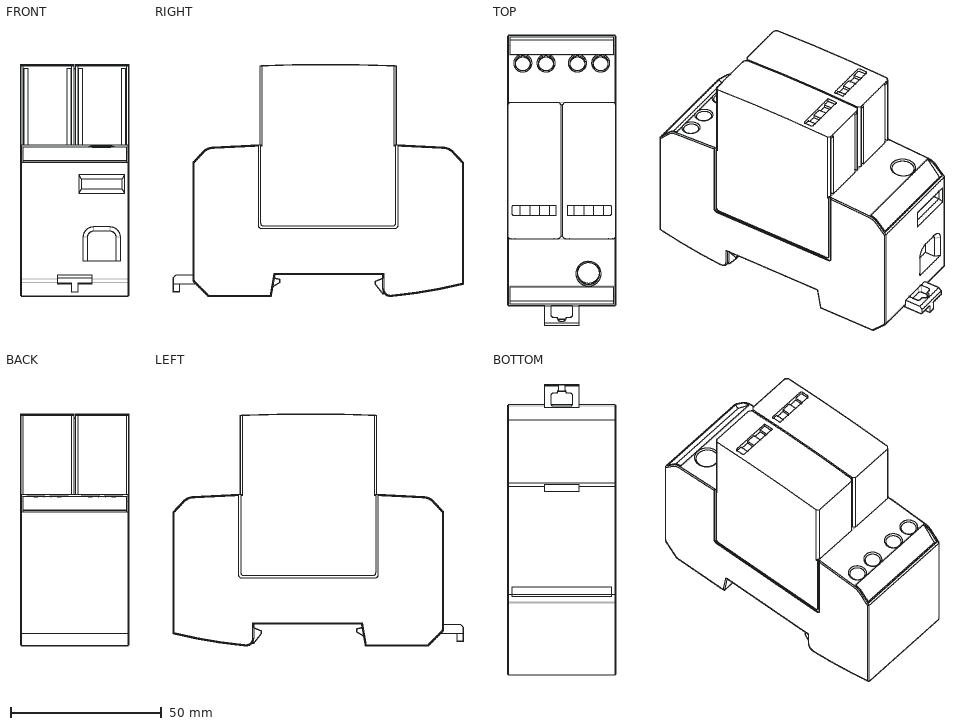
import cadquery as cq
import math


width = 36.0
body_depth = 89.9
side_chamfer = 0.4
shoulder_z = 50.4
shoulder_slope = 0.05
bevel_z = 44.5
bevel_slope = 1.07
bevel_radius = 4.8
front_foot_bevel = 5.1
front_foot_radius = 1.6
rear_foot_end_z = 4.1
rear_foot_sag = (77.8, 1.5)
rear_foot_low_y = 66.0
rear_foot_radius = 2.9
rail_z = 7.2
rail_front_y = 27.3
rail_rear_y = 63.1
rail_draft = 1.3

recess_wall = 0.9
recess_top_y = 6.4
recess_low_y = 1.6
recess_low_z = 43.9
lip_run = 1.1

module_depth = 45.4
module_mid_y = body_depth / 2
module_top_z = 77.1
module_edge_z = 76.6
module_chamfer = 0.8
module_root_z = shoulder_z - 3.9
split_width = 0.5
split_depth = 1.0
grip_offset = 1.1
grip_width = 1.35
grip_depth = 1.4
grip_top_z = 75.7
seam_half_depth = 23.2
seam_bottom_z = 22.6
seam_width = 0.8
seam_depth = 0.3
seam_radius = 1.0

window_outer_x = 16.5
window_y = 31.75
window_height = 3.4
window_radius = 0.6
window_cells = [2.7, 3.3, 3.2, 3.2, 2.2]
raised_cell_depth = 0.8
sunk_cell_depth = 1.7

screw_rear_y = 80.7
screw_rear_xs = [-12.9, -5.2, 5.2, 12.9]
screw_rear_diameter = 5.0
screw_front_x = 8.9
screw_front_y = 10.7
screw_front_diameter = 7.3
screw_chamfer = 0.5
screw_depth = 9.65

slot_x = 9.0
slot_z = 37.3
slot_width = 15.15
slot_height = 6.2
slot_side_inset = 0.8
slot_height_inset = 1.4
slot_bevel_depth = 1.0
slot_depth = 5.3
arch_x = 9.0
arch_bottom_z = 11.8
arch_width = 12.4
arch_height = 11.4
arch_radius = 3.5
arch_inset = 1.4
arch_depth = 5.0

clip_width = 11.5
clip_reach = 96.5 - body_depth
clip_bottom_z = 4.1
clip_top_z = 7.1
clip_root = 1.9
clip_top_chamfer = 1.0
clip_low_chamfer = 0.5
clip_window_width = 7.0
clip_window_end = 3.8
clip_window_radius = 0.8
clip_window_back = 0.6
clip_notch_radius = 1.4
tab_width = 2.3
tab_depth = 2.2
tab_bottom_z = 1.5
nose_tip_y = 28.95
nose_top_z = 6.1
nose_tip_top_z = 5.7
nose_tip_low_z = 4.6
nose_low_z = 2.9
hook_side_gap = 1.4
hook_tip_y = 60.6
hook_top_z = 6.1
hook_tip_top_z = 5.0
hook_tip_low_z = 4.1
hook_low_z = 0.9


def extrude_profile(profile, length):
    """Extrude a YZ profile along X, centred on X = 0."""
    return profile.extrude(length / 2, both=True)


def block(x0, x1, y0, y1, z0, z1):
    return cq.Workplane("XY").box(x1 - x0, y1 - y0, z1 - z0, centered=False).translate((x0, y0, z0))


def mirror_ends(solid):
    """Mirror a solid from the front end of the body to its rear end."""
    return solid.mirror("XZ", (0, body_depth / 2, 0))


def shoulder_height(y):
    """Height of the front shoulder plane at a distance y from the front wall."""
    return shoulder_z - shoulder_slope * (module_mid_y - module_depth / 2 - y)


corner_y = (shoulder_height(0) - bevel_z) / (bevel_slope - shoulder_slope)
corner_z = shoulder_height(corner_y)
module_front_y = module_mid_y - module_depth / 2
module_rear_y = module_mid_y + module_depth / 2


def make_body():
    profile = (
        cq.Workplane("YZ")
        .moveTo(0, front_foot_bevel)
        .lineTo(0, bevel_z)
        .lineTo(corner_y, corner_z)
        .lineTo(module_front_y, shoulder_z)
        .lineTo(module_rear_y, shoulder_z)
        .lineTo(body_depth - corner_y, corner_z)
        .lineTo(body_depth, bevel_z)
        .lineTo(body_depth, rear_foot_end_z)
        .threePointArc(rear_foot_sag, (rear_foot_low_y, 0))
        .lineTo(rail_rear_y, 0)
        .lineTo(rail_rear_y, rail_z)
        .lineTo(rail_front_y, rail_z)
        .lineTo(rail_front_y - rail_draft, 0)
        .lineTo(front_foot_bevel, 0)
        .close()
    )
    body = extrude_profile(profile, width)

    def round_edge(solid, y, z, radius):
        reach = 0.1
        near = cq.selectors.BoxSelector((-width, y - reach, z - reach), (width, y + reach, z + reach))
        return solid.edges("|X").edges(near).fillet(radius)

    body = round_edge(body, corner_y, corner_z, bevel_radius)
    body = round_edge(body, body_depth - corner_y, corner_z, bevel_radius)
    body = round_edge(body, 0, front_foot_bevel, front_foot_radius)
    body = round_edge(body, rail_rear_y, 0, rear_foot_radius - side_chamfer)
    return body.faces("<X or >X").chamfer(side_chamfer)


def make_bevel_recess():
    """Bevelled recess between the side walls, closed by a lip along the end wall."""
    top_z = shoulder_height(recess_top_y)
    profile = (
        cq.Workplane("YZ")
        .moveTo(recess_top_y, top_z)
        .lineTo(recess_low_y, recess_low_z)
        .lineTo(recess_low_y - lip_run, recess_low_z + lip_run)
        .lineTo(recess_low_y - lip_run, top_z)
        .close()
    )
    return extrude_profile(profile, width - 2 * recess_wall)


def make_modules():
    profile = (
        cq.Workplane("YZ")
        .moveTo(module_front_y, module_root_z)
        .lineTo(module_front_y, module_edge_z)
        .threePointArc((module_mid_y, module_top_z), (module_rear_y, module_edge_z))
        .lineTo(module_rear_y, module_root_z)
        .close()
    )
    module_width = (width - split_width) / 2
    module = extrude_profile(profile, module_width).edges("|Z").chamfer(module_chamfer)
    grip = block(0, grip_width, module_front_y, module_front_y + grip_depth, module_root_z, grip_top_z)
    grip_edge = module_width / 2 - grip_offset
    module = module.cut(grip.translate((-grip_edge, 0, 0)))
    module = module.cut(grip.translate((grip_edge - grip_width, 0, 0)))

    core = block(
        -split_width, split_width,
        module_front_y + split_depth, module_rear_y - split_depth,
        module_root_z, module_edge_z - split_depth,
    )
    offset = (module_width + split_width) / 2
    return core.union(module.translate((-offset, 0, 0))).union(module.translate((offset, 0, 0)))


def make_window():
    """Status window of the right-hand module, with alternating raised and sunk cells."""
    inner_x = window_outer_x - sum(window_cells)
    low_y = window_y - window_height / 2
    high_y = window_y + window_height / 2
    top_z = module_top_z + 1
    window = None
    outer_x = window_outer_x
    for index, length in enumerate(window_cells):
        cell_depth = sunk_cell_depth if index % 2 else raised_cell_depth
        cell = block(outer_x - length, outer_x, low_y, high_y, module_edge_z - cell_depth, top_z)
        window = cell if window is None else window.union(cell)
        outer_x -= length
    limit = block(inner_x, window_outer_x, low_y, high_y, module_edge_z - sunk_cell_depth, top_z)
    return window.intersect(limit.edges("|Z and >X").fillet(window_radius))


def make_seam():
    """U-shaped groove where the modules sit in the body, on the +X side."""
    def outline(inset):
        half = seam_half_depth - inset
        bottom = seam_bottom_z + inset
        u_block = block(
            width / 2 - seam_depth, width / 2,
            module_mid_y - half, module_mid_y + half,
            bottom, shoulder_z,
        )
        return u_block.edges("|X and <Z").fillet(seam_radius)

    return outline(0).cut(outline(seam_width))


def make_screw_hole(x, y, diameter):
    """Chamfered hole square to the front shoulder plane."""
    radius = diameter / 2
    profile = (
        cq.Workplane("XZ")
        .moveTo(0, 1)
        .lineTo(radius + screw_chamfer, 1)
        .lineTo(radius + screw_chamfer, 0)
        .lineTo(radius, -screw_chamfer)
        .lineTo(radius, -screw_depth)
        .lineTo(0, -screw_depth)
        .close()
    )
    hole = profile.revolve(360, (0, 0, 0), (0, 1, 0))
    tilt = math.degrees(math.atan(shoulder_slope))
    return hole.rotate((0, 0, 0), (1, 0, 0), tilt).translate((x, y, shoulder_height(y)))


def make_slot():
    """Rectangular front pocket with a bevelled mouth."""
    inner_width = slot_width - 2 * slot_side_inset
    inner_height = slot_height - 2 * slot_height_inset
    mouth = (
        cq.Workplane("XZ", origin=(slot_x, 0, slot_z))
        .rect(slot_width, slot_height)
        .workplane(offset=-slot_bevel_depth)
        .rect(inner_width, inner_height)
        .loft(ruled=True)
    )
    well = cq.Workplane("XZ", origin=(slot_x, 0, slot_z)).rect(inner_width, inner_height).extrude(-slot_depth)
    return mouth.union(well)


def make_arch():
    """Arched front pocket; its mouth is bevelled except along the flat bottom."""
    def outline(inset, y):
        half = arch_width / 2 - inset
        top = arch_height - inset
        radius = arch_radius - inset
        bend = radius * (1 - math.sqrt(0.5))
        return (
            cq.Workplane("XZ", origin=(arch_x, y, arch_bottom_z))
            .moveTo(-half, 0)
            .lineTo(-half, top - radius)
            .threePointArc((-half + bend, top - bend), (-half + radius, top))
            .lineTo(half - radius, top)
            .threePointArc((half - bend, top - bend), (half, top - radius))
            .lineTo(half, 0)
            .close()
        )

    outer = outline(0, 0).wires().val()
    inner = outline(arch_inset, arch_inset).wires().val()
    mouth = cq.Workplane(cq.Solid.makeLoft([outer, inner], True))
    return mouth.union(outline(arch_inset, 0).extrude(-arch_depth))


def make_clip():
    """Release clip of the rail lock, standing out of the front wall."""
    plate = block(-clip_width / 2, clip_width / 2, -clip_reach, clip_root, clip_bottom_z, clip_top_z)
    plate = plate.edges("<Y and >Z").chamfer(clip_top_chamfer)
    plate = plate.edges("<Y and <Z").chamfer(clip_low_chamfer)
    tab = block(
        -tab_width / 2, tab_width / 2,
        -clip_reach, tab_depth - clip_reach,
        tab_bottom_z, clip_bottom_z + clip_low_chamfer,
    )
    return plate.union(tab)


def make_clip_window():
    """Screwdriver window of the clip, with a round notch at its outer end."""
    half = clip_window_width / 2
    window = block(-half, half, -clip_window_end, clip_window_back, clip_bottom_z, clip_top_z)
    window = window.edges("|Z").fillet(clip_window_radius)
    notch = (
        cq.Workplane("XY", origin=(0, -clip_window_end, clip_bottom_z))
        .circle(clip_notch_radius)
        .extrude(clip_top_z - clip_bottom_z)
    )
    return window.union(notch)


def make_rail_hooks():
    """Latch nose on the front foot and fixed hook along the rear foot."""
    def hook_profile(points):
        return cq.Workplane("YZ").polyline(points).close()

    nose_root_y = rail_front_y - rail_draft
    nose = hook_profile([
        (nose_root_y, nose_top_z),
        (rail_front_y, nose_top_z),
        (nose_tip_y, nose_tip_top_z),
        (nose_tip_y, nose_tip_low_z),
        (nose_root_y, nose_low_z),
    ])
    hook_root_y = rail_rear_y + rear_foot_radius
    hook = hook_profile([
        (hook_root_y, hook_top_z),
        (rail_rear_y, hook_top_z),
        (hook_tip_y, hook_tip_top_z),
        (hook_tip_y, hook_tip_low_z),
        (rail_rear_y, hook_low_z),
        (hook_root_y, hook_low_z),
    ])
    return extrude_profile(nose, clip_width).union(extrude_profile(hook, width - 2 * hook_side_gap))


recess = make_bevel_recess()
window = make_window()
seam = make_seam()

result = make_body().cut(recess).cut(mirror_ends(recess)).union(make_modules())
for cutter in (window, seam):
    result = result.cut(cutter).cut(cutter.mirror("YZ"))
result = result.cut(make_screw_hole(screw_front_x, screw_front_y, screw_front_diameter))
for screw_x in screw_rear_xs:
    hole = make_screw_hole(screw_x, body_depth - screw_rear_y, screw_rear_diameter)
    result = result.cut(mirror_ends(hole))
result = result.cut(make_slot()).cut(make_arch())
result = result.union(make_clip()).cut(make_clip_window()).union(make_rail_hooks())